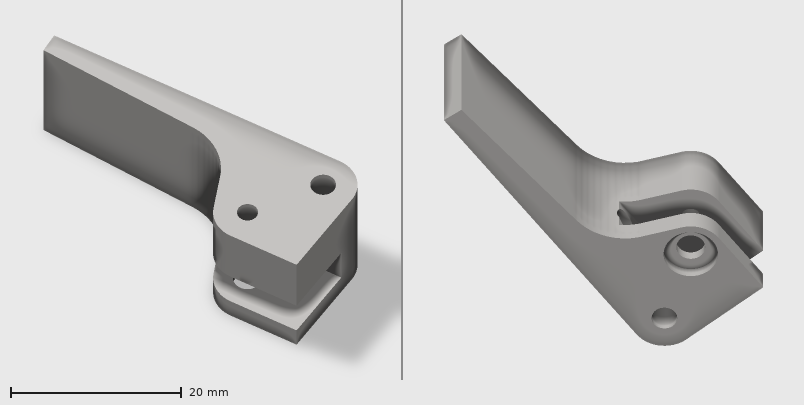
import cadquery as cq
import math

length = 42.5
depth = 16.0
height = 15.0

corner_radius = 4.05
tip_thickness = 2.55
fillet_start = (20.9, 12.0)
fillet_end = (27.15, 7.6)
pivot_center = (32.75, corner_radius)
rear_center = (length - corner_radius, depth - corner_radius)
front_corner_x = 41.65

slot_bottom = 2.68
slot_height = 4.65
slot_depth = 9.48

rear_hole_diameter = 3.0
upper_pivot_diameter = 2.45
lower_pivot_diameter = 3.4
lower_recess_diameter = 6.37
lower_recess_depth = 1.4
cross_hole_diameter = 3.0
cross_hole_x = 27.28
cross_hole_z = slot_bottom + slot_height / 2


def polar(center, radius, degrees):
    """Point on a circle, angle measured from +X."""
    angle = math.radians(degrees)
    return (center[0] + radius * math.cos(angle), center[1] + radius * math.sin(angle))


def tangent_point(center, radius, point):
    """Point where a line from an outside point touches the low-X side of a circle."""
    dx = point[0] - center[0]
    dy = point[1] - center[1]
    bearing = math.atan2(dy, dx)
    swing = math.acos(radius / math.hypot(dx, dy))
    return polar(center, radius, math.degrees(bearing + swing))


def make_body():
    flank_end = tangent_point(pivot_center, corner_radius, fillet_end)
    return (
        cq.Workplane("XY")
        .moveTo(0, depth)
        .lineTo(0, depth - tip_thickness)
        .lineTo(*fillet_start)
        .tangentArcPoint(fillet_end, relative=False)
        .lineTo(*flank_end)
        .tangentArcPoint((pivot_center[0], 0), relative=False)
        .lineTo(front_corner_x, 0)
        .lineTo(length, rear_center[1])
        .threePointArc(polar(rear_center, corner_radius, 45), (rear_center[0], depth))
        .close()
        .extrude(height)
    )


def make_slot():
    slot = cq.Workplane("XY").box(length, slot_depth, slot_height, centered=False)
    return slot.translate((0, 0, slot_bottom))


def vertical_hole(center, diameter, bottom, top):
    return cq.Workplane("XY", origin=(*center, bottom)).circle(diameter / 2).extrude(top - bottom)


def make_cross_hole():
    return (
        cq.Workplane("XZ", origin=(cross_hole_x, depth, cross_hole_z))
        .circle(cross_hole_diameter / 2)
        .extrude(depth)
    )


result = (
    make_body()
    .cut(make_slot())
    .cut(vertical_hole(rear_center, rear_hole_diameter, 0, height))
    .cut(vertical_hole(pivot_center, upper_pivot_diameter, slot_bottom, height))
    .cut(vertical_hole(pivot_center, lower_pivot_diameter, 0, slot_bottom))
    .cut(vertical_hole(pivot_center, lower_recess_diameter, 0, lower_recess_depth))
    .cut(make_cross_hole())
)